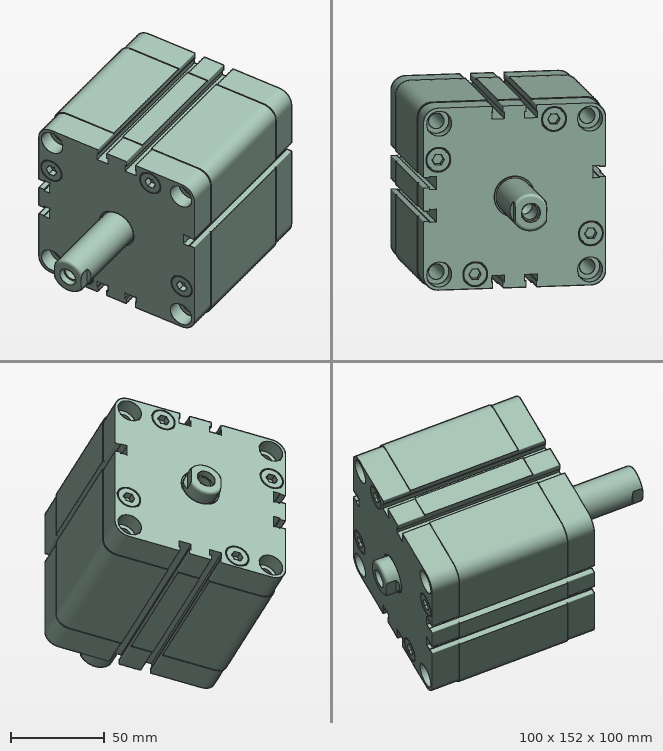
import cadquery as cq
import math


total_length = 152.0
front_rod_length = 48.0
cap_length = 16.0
barrel_length = 64.0
body_length = barrel_length + 2 * cap_length

rod_front = -total_length / 2
body_front = rod_front + front_rod_length
barrel_front = body_front + cap_length
barrel_back = barrel_front + barrel_length
body_back = barrel_back + cap_length

barrel_width = 100.0
cap_inset = 0.5
cap_width = barrel_width - 2 * cap_inset
corner_radius = 8.0

slot_offset = 9.1
single_slot_offset = 12.0
slot_mouth_width = 5.6
slot_mouth_depth = 3.8
slot_depth = 7.5
undercut_outer_step = 0.5
undercut_inner_step = 0.9
single_slot_inner_step = 0.5
cap_slot_edge_radius = 0.5

mount_offset = 41.0
mount_hole_diameter = 8.4
mount_counterbore_diameter = 13.5
mount_counterbore_depth = 8.4

screw_along = 21.5
screw_across = 41.5
screw_recess_diameter = 13.5
screw_head_diameter = 12.5
screw_recess_depth = 7.6
socket_width = 5.6
socket_depth = 3.8

rod_diameter = 20.0
rod_edge_radius = 1.7
rod_recess_diameter = 22.0
rod_recess_depth = 0.8
flat_width = 17.0
flat_length = 6.0
flat_ramp = (rod_diameter - flat_width) / 2

bore_mouth_diameter = 10.2
bore_mouth_depth = 4.0
bore_diameter = 8.5
bore_depth = 20.0
bore_tip_length = 2.5


def cylinder(diameter, start, length, x=0.0, z=0.0):
    """Cylinder along +Y, starting at Y = start."""
    axis = cq.Vector(0, 1, 0)
    return cq.Workplane(cq.Solid.makeCylinder(diameter / 2, length, cq.Vector(x, start, z), axis))


def rounded_block(width, start, length):
    """Square prism along Y with rounded long edges."""
    block = cq.Workplane("XY").box(width, length, width)
    block = block.edges("|Y").fillet(corner_radius)
    return block.translate((0, start + length / 2, 0))


def extrude_along_y(points, start, length):
    """Extrude an X-Z outline from Y = start towards +Y."""
    outline = cq.Workplane("XZ", origin=(0, start, 0)).polyline(points).close()
    return outline.extrude(-length)


def slot_cutter(offset, inner_step):
    """T-slot in the +Z side at X = offset; offset must be positive."""
    inner = offset - slot_mouth_width / 2
    outer = offset + slot_mouth_width / 2
    top = barrel_width / 2
    step = top - slot_mouth_depth
    floor = top - slot_depth
    t_outline = [
        (inner, top),
        (inner, step),
        (inner - inner_step, step),
        (inner - inner_step, floor),
        (outer + undercut_outer_step, floor),
        (outer + undercut_outer_step, step),
        (outer, step),
        (outer, top),
    ]
    cutter = extrude_along_y(t_outline, body_front, body_length)

    radius = cap_slot_edge_radius
    arc_reach = radius * (1 - math.sqrt(0.5))
    cap_top = cap_width / 2
    for start in (body_front, barrel_back):
        rounding = (
            cq.Workplane("XZ", origin=(0, start, 0))
            .moveTo(inner - radius, cap_top)
            .threePointArc((inner - arc_reach, cap_top - arc_reach), (inner, cap_top - radius))
            .lineTo(outer, cap_top - radius)
            .threePointArc((outer + arc_reach, cap_top - arc_reach), (outer + radius, cap_top))
            .close()
            .extrude(-cap_length)
        )
        cutter = cutter.union(rounding)
    return cutter


def about_axis(shape, angle):
    return shape.rotate((0, 0, 0), (0, 1, 0), angle)


def cut_slots(body):
    """Slot pairs in the +Z, -Z and -X sides and a single slot in the +X side."""
    slot = slot_cutter(slot_offset, undercut_inner_step)
    pair = slot.union(slot.mirror("YZ"))
    for angle in (0, 180, -90):
        body = body.cut(about_axis(pair, angle))
    single = slot_cutter(single_slot_offset, single_slot_inner_step).mirror("YZ")
    return body.cut(about_axis(single, 90))


def cut_mount_holes(body):
    """Through holes counterbored from both ends."""
    for x in (-mount_offset, mount_offset):
        for z in (-mount_offset, mount_offset):
            body = body.cut(cylinder(mount_hole_diameter, body_front, body_length, x, z))
            for start in (body_front, body_back - mount_counterbore_depth):
                counterbore = cylinder(mount_counterbore_diameter, start, mount_counterbore_depth, x, z)
                body = body.cut(counterbore)
    return body


def screw_cutter(x, z):
    """Clearance ring around a screw head and its hexagon socket, in the front face."""
    ring = cylinder(screw_recess_diameter, body_front, screw_recess_depth, x, z)
    ring = ring.cut(cylinder(screw_head_diameter, body_front, screw_recess_depth, x, z))
    socket = (
        cq.Workplane("XZ", origin=(x, body_front, z))
        .transformed(rotate=(0, 0, 90))
        .polygon(6, socket_width, circumscribed=True)
        .extrude(-socket_depth)
    )
    return ring.union(socket)


def to_back(shape):
    """Mirror a front-face feature onto the back face."""
    return shape.mirror("XZ", (0, (body_front + body_back) / 2, 0))


def cut_screws(body):
    positions = [
        (screw_along, screw_across),
        (screw_across, -screw_along),
        (-screw_along, -screw_across),
        (-screw_across, screw_along),
    ]
    for x, z in positions:
        screw = screw_cutter(x, z)
        body = body.cut(screw).cut(to_back(screw))
    return body


def cut_rod_recess(body):
    """Shallow ring recess around the rod in both end faces."""
    recess = cylinder(rod_recess_diameter, body_front, rod_recess_depth)
    return body.cut(recess).cut(to_back(recess))


def rod_end_cutter():
    """Two wrench flats with ramped ends and the stepped bore, at the front rod end."""
    radius = rod_diameter / 2
    flat = flat_width / 2
    flat_outline = [
        (flat, rod_front),
        (flat, rod_front + flat_length),
        (flat + flat_ramp, rod_front + flat_length + flat_ramp),
        (flat + flat_ramp, rod_front),
    ]
    wedge = cq.Workplane("XY").polyline(flat_outline).close().extrude(radius, both=True)

    bore_radius = bore_diameter / 2
    mouth_radius = bore_mouth_diameter / 2
    bore_outline = [
        (0, rod_front),
        (mouth_radius, rod_front),
        (mouth_radius, rod_front + bore_mouth_depth),
        (bore_radius, rod_front + bore_mouth_depth),
        (bore_radius, rod_front + bore_depth),
        (0, rod_front + bore_depth + bore_tip_length),
    ]
    bore = cq.Workplane("XY").polyline(bore_outline).close().revolve(360, (0, 0, 0), (0, 1, 0))
    return wedge.union(wedge.mirror("YZ")).union(bore)


def make_rod():
    rod = cylinder(rod_diameter, rod_front, total_length)
    rod = rod.faces("<Y or >Y").edges().fillet(rod_edge_radius)
    front_cutter = rod_end_cutter()
    return rod.cut(front_cutter).cut(front_cutter.mirror("XZ"))


body = rounded_block(cap_width, body_front, body_length)
body = body.union(rounded_block(barrel_width, barrel_front, barrel_length))
body = cut_slots(body)
body = cut_mount_holes(body)
body = cut_screws(body)
body = cut_rod_recess(body)

result = body.union(make_rod())